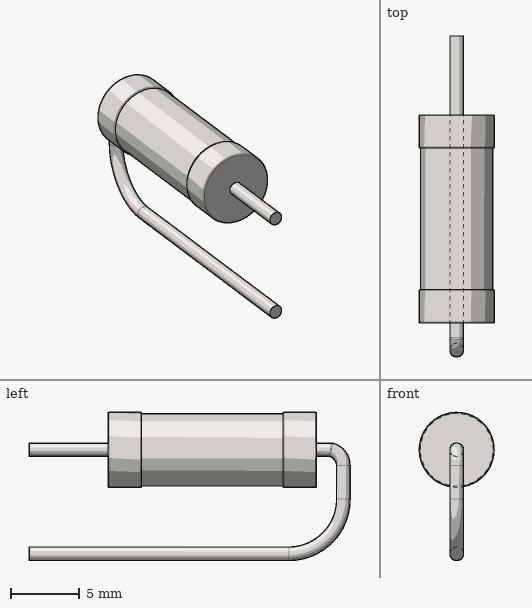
import cadquery as cq
import math


overall_length = 23.5
wire_diameter = 1.0
wire_radius = wire_diameter / 2
lead_end_y = overall_length - wire_radius

body_start_y = 1.97
body_length = 15.25
body_end_y = body_start_y + body_length
barrel_diameter = 5.3
cap_diameter = 5.5
cap_length = 2.45
cap_edge_radius = 0.07

lead_spacing = 7.61
upper_bend_radius = 1.2
lower_bend_radius = 4.0
upper_bend_tilt = math.radians(14)

upper_bend_start_y = upper_bend_radius * (1 - math.sin(upper_bend_tilt))
upper_bend_end_z = -upper_bend_radius * math.cos(upper_bend_tilt)
lower_bend_start_z = -lead_spacing + lower_bend_radius


def make_cap(start_y):
    """End cap with rounded rims, running toward +Y from start_y."""
    cap = cq.Workplane("XZ", origin=(0, start_y, 0)).circle(cap_diameter / 2).extrude(-cap_length)
    return cap.faces("<Y or >Y").edges().fillet(cap_edge_radius)


def make_body():
    """Barrel with a larger cap at each end."""
    barrel = cq.Workplane("XZ", origin=(0, body_start_y, 0)).circle(barrel_diameter / 2).extrude(-body_length)
    for start_y in (body_start_y, body_end_y - cap_length):
        barrel = barrel.union(make_cap(start_y))
    return barrel


def make_axial_lead():
    """Slightly flattened lead through the body; its section is the tilted bend end projected along Y."""
    half_height = wire_radius * math.cos(upper_bend_tilt)
    lead = (
        cq.Workplane("XZ", origin=(0, upper_bend_start_y, 0))
        .ellipse(wire_radius, half_height)
        .extrude(-(lead_end_y - upper_bend_start_y))
    )
    overlap = wire_radius
    extension = (
        cq.Workplane("XZ", origin=(0, upper_bend_start_y, 0))
        .ellipse(wire_radius, half_height)
        .extrude(overlap)
    )
    joint_plane = cq.Plane(
        origin=(0, upper_bend_start_y, 0),
        xDir=(1, 0, 0),
        normal=(0, -math.cos(upper_bend_tilt), -math.sin(upper_bend_tilt)),
    )
    trim_size = 4 * wire_diameter
    trim = cq.Workplane(joint_plane).rect(trim_size, trim_size).extrude(trim_size)
    return lead.union(extension).cut(trim)


def make_folded_lead():
    """Round wire: upper bend, upright, lower bend and long straight return."""
    upper_mid_angle = (math.pi / 2 - upper_bend_tilt) / 2
    upper_mid = (
        upper_bend_radius * (1 - math.cos(upper_mid_angle)),
        upper_bend_end_z + upper_bend_radius * math.sin(upper_mid_angle),
    )
    lower_mid_offset = lower_bend_radius * (1 - math.sqrt(0.5))
    path = (
        cq.Workplane("YZ")
        .moveTo(lead_end_y, -lead_spacing)
        .lineTo(lower_bend_radius, -lead_spacing)
        .threePointArc((lower_mid_offset, -lead_spacing + lower_mid_offset), (0, lower_bend_start_z))
        .lineTo(0, upper_bend_end_z)
        .threePointArc(upper_mid, (upper_bend_start_y, 0))
    )
    return cq.Workplane("XZ", origin=(0, lead_end_y, -lead_spacing)).circle(wire_radius).sweep(path)


result = make_body().union(make_axial_lead()).union(make_folded_lead())